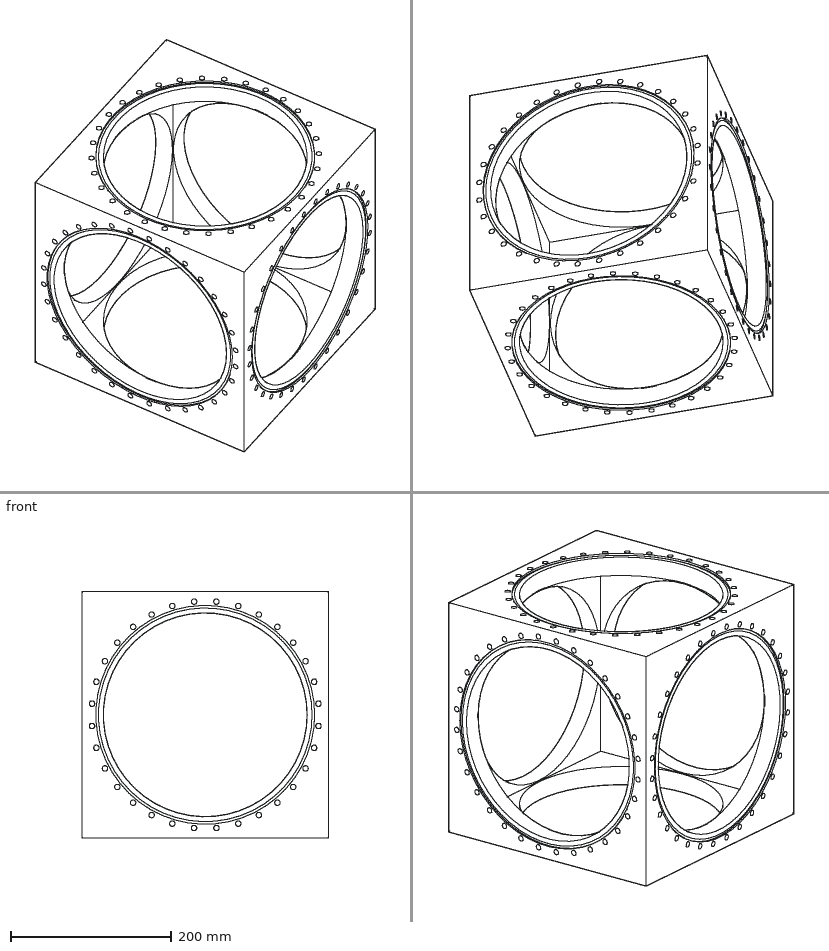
import cadquery as cq
import math

cube_side = 308.0
wall = 26.0
bore_diameter = 254.0
knife_diameter = 266.7
recess_diameter = 273.2
crest_depth = 1.2
recess_depth = 2.5
bolt_circle = 284.0
bolt_count = 32
bolt_hole_diameter = 6.8
bolt_hole_depth = 22.0
drill_point_angle = 118.0

half_side = cube_side / 2
inner_half_side = half_side - wall
bolt_step = 360 / bolt_count


def mitred_plate():
    """Square plate with its outer face at the top of the cube and 45 degree mitred sides."""
    return (
        cq.Workplane("XY", origin=(0, 0, half_side))
        .rect(cube_side, cube_side)
        .workplane(offset=-wall)
        .rect(2 * inner_half_side, 2 * inner_half_side)
        .loft(ruled=True)
    )


def port_cutter():
    """Turned void of the bore, the flat inside the knife edge and the sloping gasket recess."""
    return (
        cq.Workplane("XZ")
        .moveTo(0, inner_half_side)
        .lineTo(bore_diameter / 2, inner_half_side)
        .lineTo(bore_diameter / 2, half_side - crest_depth)
        .lineTo(knife_diameter / 2, half_side - crest_depth)
        .lineTo(recess_diameter / 2, half_side - recess_depth)
        .lineTo(recess_diameter / 2, half_side)
        .lineTo(0, half_side)
        .close()
        .revolve(360, (0, 0, 0), (0, 1, 0))
    )


def bolt_hole_cutter(angle):
    """Blind hole with a drill point, on the bolt circle at the given angle."""
    radius = bolt_hole_diameter / 2
    point_height = radius / math.tan(math.radians(drill_point_angle / 2))
    foot = half_side - bolt_hole_depth
    hole = (
        cq.Workplane("XZ")
        .moveTo(0, half_side)
        .lineTo(radius, half_side)
        .lineTo(radius, foot)
        .lineTo(0, foot - point_height)
        .close()
        .revolve(360, (0, 0, 0), (0, 1, 0))
    )
    return hole.translate((bolt_circle / 2, 0, 0)).rotate((0, 0, 0), (0, 0, 1), angle)


def wall_plate(first_bolt_angle):
    """Top plate of the cube, with its bolt holes starting at the given angle."""
    angles = [first_bolt_angle + index * bolt_step for index in range(bolt_count)]
    bolt_holes = [bolt_hole_cutter(angle).val() for angle in angles]
    solid = mitred_plate().val().cut(port_cutter().val(), *bolt_holes)
    return solid.Solids()[0]


center = (0, 0, 0)
x_axis = (1, 0, 0)
y_axis = (0, 1, 0)
end_plate = wall_plate(0)
side_plate = wall_plate(bolt_step / 2)

plates = [end_plate.rotate(center, x_axis, angle) for angle in (0, 180)]
plates += [side_plate.rotate(center, x_axis, angle) for angle in (90, -90)]
plates += [side_plate.rotate(center, y_axis, angle) for angle in (90, -90)]

result = cq.Compound.makeCompound(plates)